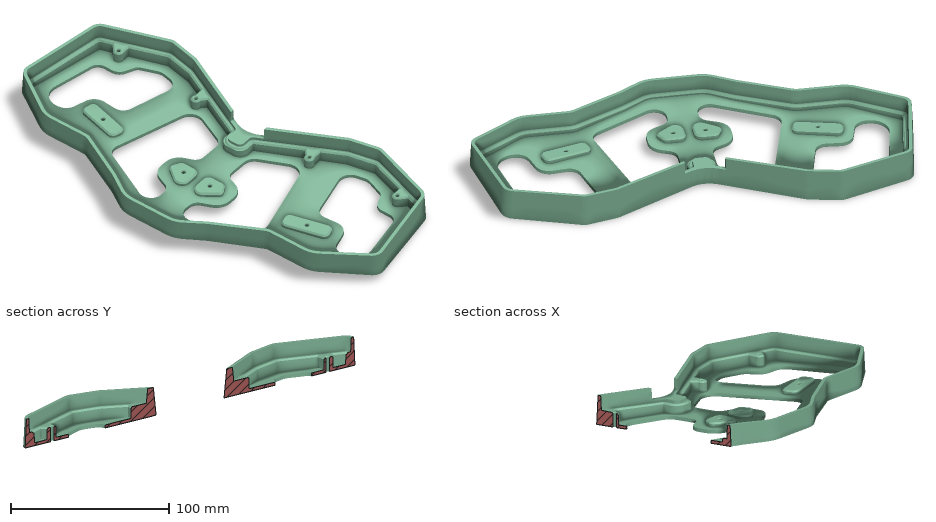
import cadquery as cq
import math

draft = 3.0
tilt = 3.0
mid_depth = 16.9
floor_thickness = 2.3
rim_width = 2.2
ledge_depth = 9.4
ledge_width = 2.9
edge_chamfer = 1.0
corner_radius = 8.0
sweep_radius = 20.0

gap_half_width = 13.2
tongue_depth = 7.6
tongue_half_width = 5.4
tongue_front = 21.3
tongue_radius = 3.0

window_top = 11.0
screw_diameter = 2.42
sink_diameter = 3.6
pad_rise = 3.0

reach = 400.0
cut_height = 60.0
deep = 30.0
bevel_angle = 45.0

draft_slope = math.tan(math.radians(draft))
tilt_slope = math.tan(math.radians(tilt))

rim_half = [
    (-60.9, 62.1, corner_radius),
    (-82.5, 66.8, corner_radius),
    (-130.8, 50.3, corner_radius),
    (-142.1, -13.7, corner_radius),
    (-105.9, -38.0, sweep_radius),
    (-72.1, -38.0, corner_radius),
    (-37.5, -55.9, sweep_radius),
    (-19.9, -67.3, sweep_radius),
]
rim_notch = (0.0, 31.4, sweep_radius)

outer_window = [
    (-118.8, 35.3, 7.0),
    (-102.5, 35.3, 7.0),
    (-97.0, 47.9, 5.0),
    (-82.0, 53.8, 9.0),
    (-65.3, 50.1, 9.0),
    (-76.8, 6.0, 8.0),
    (-99.8, 8.0, 9.0),
    (-106.0, -14.6, 8.8),
    (-128.4, -14.6, 12.0),
]
inner_window = [
    (-43.7, 38.5, 9.0),
    (-62.0, -27.9, 8.0),
    (-9.9, -54.8, 8.0),
    (-9.9, -33.6, 7.5),
    (-27.0, -25.9, 11.0),
    (-27.0, -6.7, 11.0),
    (-11.1, -0.1, 7.0),
    (-11.1, 22.6, 9.0),
]

post_radius = 3.3
posts = [
    ((-110.6, 46.2), [(3.2, 10.0, 0), (3.2, 0.0, 0), (-2.5, -2.2, 0), (-7.0, 2.8, 0), (-7.0, 6.5, 0)]),
    ((-45.0, 40.7), [(-2.5, 11.0, 0), (-2.5, 0.0, 0), (3.0, 0.0, 0), (7.0, 4.5, 0), (7.0, 6.5, 0)]),
]

bar_pad_centre = (-80.9, -8.8)
bar_pad_length = 32.6
bar_pad_width = 11.2
bar_pad_radius = 4.0
bar_pad_angle = -15.0

thumb_pad_centre = (-10.4, -17.4)
thumb_pad = [
    (7.7, 7.3, 5.0),
    (-6.8, 7.3, 4.0),
    (-11.3, -1.0, 3.0),
    (7.7, -15.6, 5.5),
]


def mirrored(points):
    """The same points on the +X side, in the opposite order."""
    return [(-x, y, radius) for x, y, radius in reversed(points)]


def shifted(points, centre):
    return [(x + centre[0], y + centre[1], radius) for x, y, radius in points]


def unit(start, end):
    dx, dy = end[0] - start[0], end[1] - start[1]
    length = math.hypot(dx, dy)
    return dx / length, dy / length


def inset(points, distance):
    """Anticlockwise outline moved inwards; arcs stay concentric until they shrink to a sharp corner."""
    moved = []
    for i, (x, y, radius) in enumerate(points):
        ax, ay = unit(points[i - 1], points[i])
        bx, by = unit(points[i], points[(i + 1) % len(points)])
        turn = ax * by - ay * bx
        scale = distance / (1 + ax * bx + ay * by)
        new_radius = radius - math.copysign(distance, turn)
        moved.append((x - (ay + by) * scale, y + (ax + bx) * scale, max(new_radius, 0)))
    return moved


def rounded(points, z=0.0):
    """Closed outline through the points with an arc at every corner that has a radius."""
    corners = []
    for i, (x, y, radius) in enumerate(points):
        ax, ay = unit(points[i], points[i - 1])
        bx, by = unit(points[i], points[(i + 1) % len(points)])
        half_angle = math.acos(ax * bx + ay * by) / 2
        trim = radius / math.tan(half_angle)
        sagitta = radius / math.sin(half_angle) - radius
        mx, my = unit((0, 0), (ax + bx, ay + by))
        corners.append((
            (x + ax * trim, y + ay * trim),
            (x + mx * sagitta, y + my * sagitta),
            (x + bx * trim, y + by * trim),
            radius,
        ))
    outline = cq.Workplane("XY", origin=(0, 0, z)).moveTo(*corners[0][2])
    for start, middle, end, radius in corners[1:] + corners[:1]:
        outline = outline.lineTo(*start)
        if radius:
            outline = outline.threePointArc(middle, end)
    return outline.close()


def both_sides(shape):
    return shape.union(shape.mirror("YZ"))


def above_slope(depth):
    """Everything above the sloping plane that lies `depth` below the rim at Y = 0."""
    return (
        cq.Workplane("XY")
        .box(reach, reach, cut_height, centered=(True, True, False))
        .rotate((0, 0, 0), (1, 0, 0), -tilt)
        .translate((0, 0, -depth))
    )


floor_depth = mid_depth - floor_thickness
above_underside = above_slope(mid_depth)
above_floor = above_slope(floor_depth)


def floor_height(y):
    return -floor_depth - tilt_slope * y


rim = [rim_notch] + rim_half + mirrored(rim_half)
wall_inside = inset(rim, rim_width)


def around_tongue(outline, half_width, front, radius):
    """Replace the rear notch corner (the first point) with a detour in front of the tongue."""
    (x0, y0, _), (x1, y1, _) = outline[0], outline[1]
    shoulder = y0 + (y1 - y0) * half_width / abs(x1 - x0)
    side = [(-half_width, front, radius), (-half_width, shoulder, radius)]
    return mirrored(side) + side + outline[1:]


upper_outline = around_tongue(wall_inside, tongue_half_width, tongue_front, tongue_radius)
lower_outline = inset(upper_outline, ledge_depth * draft_slope + ledge_width)


def shell():
    body = rounded(rim).extrude(-deep, taper=-draft).intersect(above_underside)
    upper = rounded(upper_outline).extrude(-ledge_depth, taper=draft)
    lower = rounded(lower_outline, -ledge_depth).extrude(-deep, taper=draft)
    bevel_outline = inset(lower_outline, -edge_chamfer)
    bevel = rounded(bevel_outline, -ledge_depth).extrude(-edge_chamfer, taper=bevel_angle)
    for pocket in (upper, lower, bevel):
        body = body.cut(pocket.intersect(above_floor))
    return body


def rear_gap():
    return cq.Workplane("XY").box(
        2 * gap_half_width, reach, tongue_depth, centered=(True, False, False)
    ).translate((0, 0, -tongue_depth))


def windows():
    outer = rounded(outer_window, -window_top).extrude(-deep, taper=draft)
    inner = rounded(inner_window, -window_top).extrude(-deep, taper=draft)
    return both_sides(outer.union(inner))


def screw_posts():
    column_height = deep - ledge_depth
    shapes = cq.Workplane("XY")
    for (x, y), web_outline in posts:
        column = cq.Workplane("XY", origin=(x, y, -ledge_depth)).circle(post_radius).extrude(-column_height)
        web = rounded(shifted(web_outline, (x, y)), -ledge_depth).extrude(-column_height)
        post = column.union(web).faces(">Z").chamfer(edge_chamfer)
        shapes = shapes.union(post.intersect(above_underside))
    return both_sides(shapes)


def raised_pad(outline):
    """Pad with its top at Z = 0, long enough to sink into the floor."""
    height = pad_rise + floor_thickness / 2
    return rounded(outline).extrude(-height).faces(">Z").chamfer(edge_chamfer)


def pads():
    x, y = bar_pad_length / 2, bar_pad_width / 2
    r = bar_pad_radius
    bar = (
        raised_pad([(x, y, r), (-x, y, r), (-x, -y, r), (x, -y, r)])
        .rotate((0, 0, 0), (0, 0, 1), bar_pad_angle)
        .translate((*bar_pad_centre, floor_height(bar_pad_centre[1]) + pad_rise))
    )
    thumb_top = floor_height(thumb_pad_centre[1]) + pad_rise
    thumb = raised_pad(thumb_pad).translate((*thumb_pad_centre, thumb_top))
    return both_sides(bar.union(thumb))


def screw_holes():
    sink_depth = (sink_diameter - screw_diameter) / 2
    mouths = [(x, y, -ledge_depth) for (x, y), _ in posts]
    mouths += [(x, y, floor_height(y) + pad_rise) for x, y in (bar_pad_centre, thumb_pad_centre)]
    holes = cq.Workplane("XY")
    for mouth in mouths:
        top = cq.Workplane("XY", origin=mouth)
        holes = holes.union(top.circle(screw_diameter / 2).extrude(-deep))
        holes = holes.union(top.circle(sink_diameter / 2).extrude(-sink_depth, taper=bevel_angle))
    return both_sides(holes)


result = (
    shell()
    .cut(rear_gap())
    .cut(windows())
    .union(screw_posts())
    .union(pads())
    .cut(screw_holes())
)